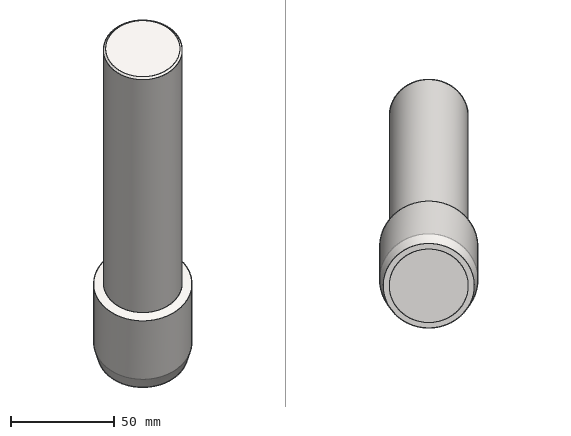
import cadquery as cq

total_height = 225.0
shaft_radius = 19.1
shaft_chamfer_width = 1.1
shaft_chamfer_height = 1.0
sleeve_radius = 23.8
sleeve_shoulder_height = 51.3
sleeve_top_rise = 0.7
taper_height = 8.0
taper_inset = 1.8


def revolve_profile(points):
    """Turn a closed (radius, height) outline about the Z axis."""
    return cq.Workplane("XZ").polyline(points).close().revolve(360, (0, 0), (0, 1))


def make_shaft():
    """Plain round shaft with a small chamfer around its top end."""
    return revolve_profile([
        (0, 0),
        (shaft_radius, 0),
        (shaft_radius, total_height - shaft_chamfer_height),
        (shaft_radius - shaft_chamfer_width, total_height),
        (0, total_height),
    ])


def make_sleeve():
    """Sleeve around the foot of the shaft, tapered below and slightly conical on top."""
    return revolve_profile([
        (shaft_radius, 0),
        (sleeve_radius - taper_inset, 0),
        (sleeve_radius, taper_height),
        (sleeve_radius, sleeve_shoulder_height),
        (shaft_radius, sleeve_shoulder_height + sleeve_top_rise),
    ])


shaft = make_shaft()
sleeve = make_sleeve()
result = cq.Compound.makeCompound([shaft.val(), sleeve.val()])